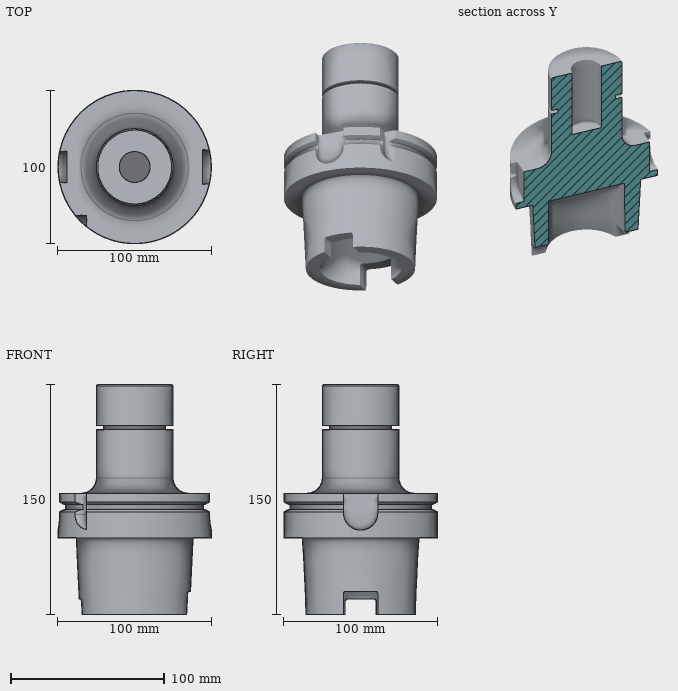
import cadquery as cq

total_height = 150.0
flange_bottom = total_height / 3
flange_top = 79.0

taper_top_radius = 38.1
taper_end_radius = 35.7
shank_bore_radius = 26.5
shank_bore_depth = flange_bottom

flange_radius = total_height / 3
groove_root_radius = 46.2
groove_lip_radius = 47.1
groove_bottom = 68.4
groove_top = 71.8
lip_height = 1.5

nose_radius = total_height / 6
nose_fillet = 10.0
nose_chamfer = 0.9
ring_groove_radius = 20.2
ring_groove_bottom = 120.6
ring_groove_top = 123.2
tool_bore_radius = 10.0
tool_bore_depth = 50.0

slot_floor_x = 44.1
slot_bottom = 55.0
narrow_slot_width = 20.2
wide_slot_width = 22.4

notch_floor_x = 31.4
notch_wall_y = -31.5

shallow_drive_depth = 10.0
deep_drive_depth = 15.2
drive_corner_radius = 1.5


def revolved_body():
    """Solid of revolution with shank, flange and nose."""
    profile = (
        cq.Workplane("XZ")
        .lineTo(taper_end_radius, 0)
        .lineTo(taper_top_radius, flange_bottom)
        .lineTo(flange_radius, flange_bottom)
        .lineTo(flange_radius, groove_bottom - lip_height)
        .lineTo(groove_lip_radius, groove_bottom)
        .lineTo(groove_root_radius, groove_bottom)
        .lineTo(groove_root_radius, groove_top)
        .lineTo(groove_lip_radius, groove_top)
        .lineTo(flange_radius, groove_top + lip_height)
        .lineTo(flange_radius, flange_top)
        .lineTo(nose_radius + nose_fillet, flange_top)
        .radiusArc((nose_radius, flange_top + nose_fillet), nose_fillet)
        .lineTo(nose_radius, ring_groove_bottom)
        .lineTo(ring_groove_radius, ring_groove_bottom)
        .lineTo(ring_groove_radius, ring_groove_top)
        .lineTo(nose_radius, ring_groove_top)
        .lineTo(nose_radius, total_height - nose_chamfer)
        .lineTo(nose_radius - nose_chamfer, total_height)
        .lineTo(0, total_height)
        .close()
    )
    return profile.revolve(360, (0, 0), (0, 1))


def bore(radius, bottom, depth):
    """Cylinder on the part axis."""
    return cq.Workplane("XY").workplane(offset=bottom).circle(radius).extrude(depth)


def flange_slot(side, floor_x, center_y, width):
    """Round-bottomed slot, open at the top and running outward along X on the given side."""
    radius = width / 2
    arc_center = slot_bottom + radius
    return (
        cq.Workplane("YZ", origin=(side * floor_x, 0, 0))
        .moveTo(center_y - radius, flange_top)
        .lineTo(center_y - radius, arc_center)
        .threePointArc((center_y, slot_bottom), (center_y + radius, arc_center))
        .lineTo(center_y + radius, flange_top)
        .close()
        .extrude(side * flange_radius)
    )


def drive_slot(side, width, depth):
    """Slot through one side of the shank wall, with rounded upper corners."""
    return (
        cq.Workplane("XY")
        .box(taper_top_radius, width, depth, centered=(True, True, False))
        .edges("|X and >Z")
        .fillet(drive_corner_radius)
        .translate((side * taper_top_radius, 0, 0))
    )


result = revolved_body()
result = result.cut(bore(shank_bore_radius, 0, shank_bore_depth))
result = result.cut(bore(tool_bore_radius, total_height - tool_bore_depth, tool_bore_depth))

notch_center_y = notch_wall_y - narrow_slot_width / 2
result = result.cut(flange_slot(-1, slot_floor_x, 0, narrow_slot_width))
result = result.cut(flange_slot(1, slot_floor_x, 0, wide_slot_width))
result = result.cut(flange_slot(-1, notch_floor_x, notch_center_y, narrow_slot_width))

result = result.cut(drive_slot(-1, narrow_slot_width, shallow_drive_depth))
result = result.cut(drive_slot(1, wide_slot_width, deep_drive_depth))